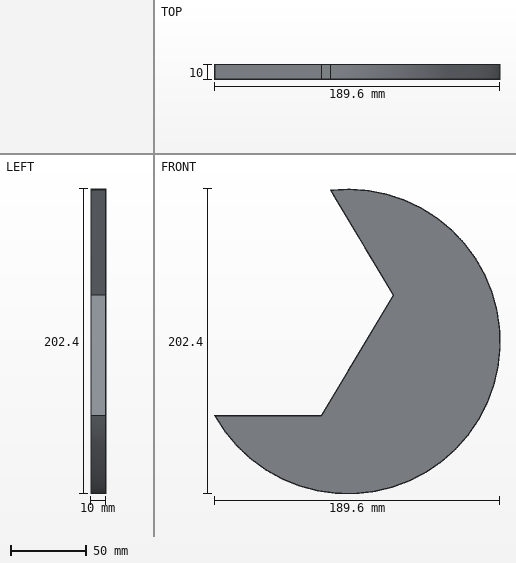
import cadquery as cq
import math

disc_radius = 101.2
thickness = 10.0

inner_corner = (30.2, 30.8)
lower_corner = (-17.6, -49.2)
upper_tip_x = -11.5

upper_tip = (upper_tip_x, math.sqrt(disc_radius**2 - upper_tip_x**2))
lower_tip_z = lower_corner[1]
lower_tip = (-math.sqrt(disc_radius**2 - lower_tip_z**2), lower_tip_z)
rim_right = (disc_radius, 0)

result = (
    cq.Workplane("XZ")
    .moveTo(*lower_tip)
    .lineTo(*lower_corner)
    .lineTo(*inner_corner)
    .lineTo(*upper_tip)
    .threePointArc(rim_right, lower_tip)
    .close()
    .extrude(thickness / 2, both=True)
)